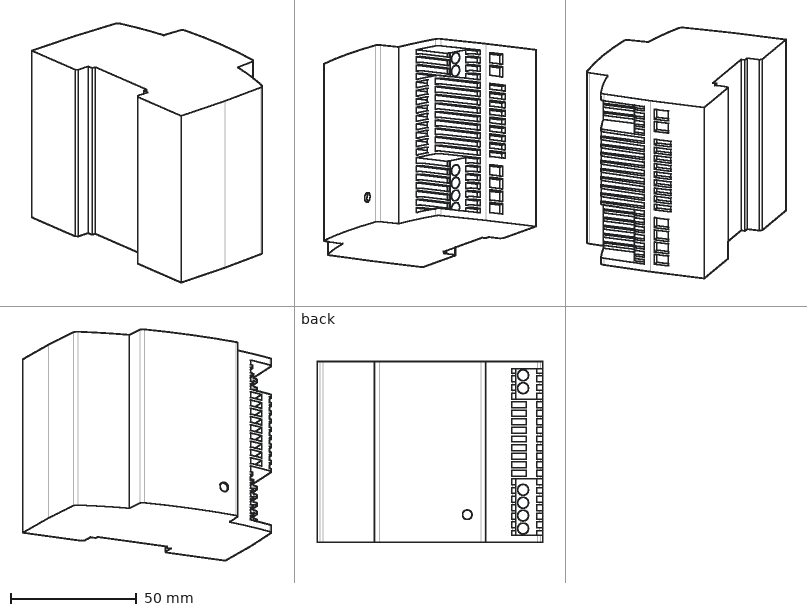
import cadquery as cq
import math

WIDTH = 90.0
DEPTH = 60.8
HEIGHT = 72.0
HALF_WIDTH = WIDTH / 2

DRAFT_ANGLE = 3.0
DRAFT = math.tan(math.radians(DRAFT_ANGLE))
DRAFT_START_Y = 23.1
SHOULDER_RADIUS = 135.0
SHOULDER_APEX_Y = 51.9
CAP_HALF_WIDTH = 22.2
CAP_RADIUS = 180.0
CORNER_RADIUS = 1.9
CAP_CORNER_RADIUS = 1.6

CHANNEL_HALF_WIDTH = 17.9
CHANNEL_DEPTH = 6.1
CHANNEL_CHAMFER = 0.9
RAIL_SEAT_HALF_WIDTH = 15.5
RAIL_SEAT_DEPTH = 7.7

OUTSIDE_X = -HALF_WIDTH - 0.9
TERMINAL_MARGIN = 2.9
SLOT_PITCH = 3.4
SLOT_HEIGHT = 2.3
SLOT_COUNT = 20
SLOT_BASE_Y = 25.7
SLOT_FLOOR_X = -42.5

LOWER_STEP_ROWS = 7
UPPER_STEP_ROWS = 4
STEP_WALL_X = -34.2
STEP_SLOT_FLOOR_X = -32.6
LEDGE_DROP = 14.2
SCREW_HOLE_X = -37.1
SCREW_HOLE_DIAMETER = 4.3
SCREW_HOLE_DEPTH = 7.2

SOCKET_WIDTH = 5.85
SOCKET_DEPTH = 9.0
PIN_WINDOW_WIDTH = 7.0

WINDOW_TOP_Y = 21.2
WINDOW_DEPTH = 2.6
WIRE_WINDOW_WIDTH = 5.9
WIRE_WINDOW_HEIGHT = 4.1
WIRE_PITCH = 5.1
WIRE_END_OFFSET = 5.5
LOWER_WIRE_COUNT = 4
UPPER_WIRE_COUNT = 2

INDICATOR_X = -14.85
INDICATOR_Z = 11.0
INDICATOR_DIAMETER = 3.8
INDICATOR_DEPTH = 0.9


def arc_y(apex_y, radius, x):
    """Height at x of an arc centred on x = 0 with its crown at apex_y."""
    return apex_y - radius + math.sqrt(radius**2 - x**2)


def shoulder_y(x):
    return arc_y(SHOULDER_APEX_Y, SHOULDER_RADIUS, x)


def side_x(y):
    """Half width of the drafted side wall at height y."""
    return HALF_WIDTH - (y - DRAFT_START_Y) * DRAFT


def box(x_range, y_range, z_range):
    (x0, x1), (y0, y1), (z0, z1) = x_range, y_range, z_range
    return cq.Workplane("XY").box(x1 - x0, y1 - y0, z1 - z0, centered=False).translate((x0, y0, z0))


def round_corner(body, corner, radius):
    """Fillet the edge nearest to the given point."""
    return body.edges(cq.selectors.NearestToPointSelector(corner)).fillet(radius)


SHOULDER_END_X = side_x(shoulder_y(side_x(shoulder_y(HALF_WIDTH))))
SHOULDER_END_Y = shoulder_y(SHOULDER_END_X)
CAP_FOOT_Y = shoulder_y(CAP_HALF_WIDTH)
CAP_TOP_HALF_WIDTH = CAP_HALF_WIDTH - (DEPTH - CAP_FOOT_Y) * DRAFT
CAP_EDGE_Y = arc_y(DEPTH, CAP_RADIUS, CAP_TOP_HALF_WIDTH)


def housing():
    shoulder_mid_x = (SHOULDER_END_X + CAP_HALF_WIDTH) / 2
    shoulder_mid = (shoulder_mid_x, shoulder_y(shoulder_mid_x))
    body = (
        cq.Workplane("XY")
        .moveTo(-HALF_WIDTH, 0)
        .lineTo(HALF_WIDTH, 0)
        .lineTo(HALF_WIDTH, DRAFT_START_Y)
        .lineTo(SHOULDER_END_X, SHOULDER_END_Y)
        .threePointArc(shoulder_mid, (CAP_HALF_WIDTH, CAP_FOOT_Y))
        .lineTo(CAP_TOP_HALF_WIDTH, CAP_EDGE_Y)
        .threePointArc((0, DEPTH), (-CAP_TOP_HALF_WIDTH, CAP_EDGE_Y))
        .lineTo(-CAP_HALF_WIDTH, CAP_FOOT_Y)
        .threePointArc((-shoulder_mid[0], shoulder_mid[1]), (-SHOULDER_END_X, SHOULDER_END_Y))
        .lineTo(-HALF_WIDTH, DRAFT_START_Y)
        .close()
        .extrude(HEIGHT)
    )
    for sign in (-1, 1):
        shoulder_corner = (sign * SHOULDER_END_X, SHOULDER_END_Y, HEIGHT / 2)
        cap_corner = (sign * CAP_TOP_HALF_WIDTH, CAP_EDGE_Y, HEIGHT / 2)
        body = round_corner(body, shoulder_corner, CORNER_RADIUS)
        body = round_corner(body, cap_corner, CAP_CORNER_RADIUS)
    return body


def rail_channel():
    mouth = CHANNEL_HALF_WIDTH + CHANNEL_CHAMFER
    right_side = [
        (mouth, 0),
        (CHANNEL_HALF_WIDTH, CHANNEL_CHAMFER),
        (CHANNEL_HALF_WIDTH, CHANNEL_DEPTH),
        (RAIL_SEAT_HALF_WIDTH, CHANNEL_DEPTH),
        (RAIL_SEAT_HALF_WIDTH, RAIL_SEAT_DEPTH),
    ]
    left_side = [(-x, y) for x, y in reversed(right_side)]
    return cq.Workplane("XY").polyline(right_side + left_side).close().extrude(HEIGHT)


def row_z(row):
    return HEIGHT / 2 + (row - (SLOT_COUNT - 1) / 2) * SLOT_PITCH


def row_range(row):
    """Z range of a slot row, held inside the plain end walls."""
    low = max(row_z(row) - SLOT_HEIGHT / 2, TERMINAL_MARGIN)
    high = min(row_z(row) + SLOT_HEIGHT / 2, HEIGHT - TERMINAL_MARGIN)
    return low, high


LOWER_ROWS = range(LOWER_STEP_ROWS)
MIDDLE_ROWS = range(LOWER_STEP_ROWS, SLOT_COUNT - UPPER_STEP_ROWS)
UPPER_ROWS = range(SLOT_COUNT - UPPER_STEP_ROWS, SLOT_COUNT)
WIRE_CENTERS = [WIRE_END_OFFSET + i * WIRE_PITCH for i in range(LOWER_WIRE_COUNT)]
WIRE_CENTERS += [HEIGHT - WIRE_END_OFFSET - i * WIRE_PITCH for i in range(UPPER_WIRE_COUNT)]


def ledge_y(x):
    return shoulder_y(x) - LEDGE_DROP


def cut_step(body, rows):
    """Cut the shoulder back over the given rows, leaving a curved ledge, and round both corners."""
    low = row_range(rows[0])[0]
    high = row_range(rows[-1])[1]
    ledge_mid_x = (OUTSIDE_X + STEP_WALL_X) / 2
    recess = (
        cq.Workplane("XY", origin=(0, 0, low))
        .moveTo(STEP_WALL_X, DEPTH)
        .lineTo(STEP_WALL_X, ledge_y(STEP_WALL_X))
        .threePointArc((ledge_mid_x, ledge_y(ledge_mid_x)), (OUTSIDE_X, ledge_y(OUTSIDE_X)))
        .lineTo(OUTSIDE_X, DEPTH)
        .close()
        .extrude(high - low)
    )
    body = body.cut(recess)
    middle = (low + high) / 2
    ledge_end_x = -side_x(ledge_y(HALF_WIDTH))
    corners = [
        (STEP_WALL_X, shoulder_y(STEP_WALL_X), middle),
        (ledge_end_x, ledge_y(ledge_end_x), middle),
    ]
    for corner in corners:
        body = round_corner(body, corner, CORNER_RADIUS)
    return body


def stepped_slots(row):
    """Slot in the outer wall below the ledge, and slot in the back wall above it."""
    outer = box((OUTSIDE_X, SLOT_FLOOR_X), (SLOT_BASE_Y, DEPTH), row_range(row))
    inner_base_y = ledge_y(STEP_SLOT_FLOOR_X)
    inner = box((STEP_WALL_X - CORNER_RADIUS, STEP_SLOT_FLOOR_X), (inner_base_y, DEPTH), row_range(row))
    return outer.union(inner)


def middle_openings(row):
    """Full-height slot, socket through the shoulder, and pin window in the straight wall."""
    z_range = row_range(row)
    slot = box((OUTSIDE_X, SLOT_FLOOR_X), (SLOT_BASE_Y, DEPTH), z_range)
    socket_base_y = shoulder_y(STEP_SLOT_FLOOR_X) - SOCKET_DEPTH
    socket_range = (STEP_SLOT_FLOOR_X - SOCKET_WIDTH, STEP_SLOT_FLOOR_X)
    socket = box(socket_range, (socket_base_y, DEPTH), z_range)
    return slot.union(socket).union(window(PIN_WINDOW_WIDTH, z_range))


def window(width, z_range):
    x_range = (OUTSIDE_X, WINDOW_DEPTH - HALF_WIDTH)
    return box(x_range, (WINDOW_TOP_Y - width, WINDOW_TOP_Y), z_range)


def round_hole(diameter, x, z, base_y):
    """Round hole along Y, open toward +Y from base_y."""
    plane = cq.Plane(origin=(x, base_y, z), xDir=(1, 0, 0), normal=(0, 1, 0))
    return cq.Workplane(plane).circle(diameter / 2).extrude(DEPTH - base_y)


def wire_terminal(z):
    half_height = WIRE_WINDOW_HEIGHT / 2
    opening = window(WIRE_WINDOW_WIDTH, (z - half_height, z + half_height))
    base_y = ledge_y(SCREW_HOLE_X) - SCREW_HOLE_DEPTH
    return opening.union(round_hole(SCREW_HOLE_DIAMETER, SCREW_HOLE_X, z, base_y))


body = housing().cut(rail_channel())
for step_rows in (LOWER_ROWS, UPPER_ROWS):
    body = cut_step(body, step_rows)
    for row in step_rows:
        body = body.cut(stepped_slots(row))
for row in MIDDLE_ROWS:
    body = body.cut(middle_openings(row))
for z in WIRE_CENTERS:
    body = body.cut(wire_terminal(z))

indicator_base_y = arc_y(DEPTH, CAP_RADIUS, INDICATOR_X) - INDICATOR_DEPTH
body = body.cut(round_hole(INDICATOR_DIAMETER, INDICATOR_X, INDICATOR_Z, indicator_base_y))

result = body